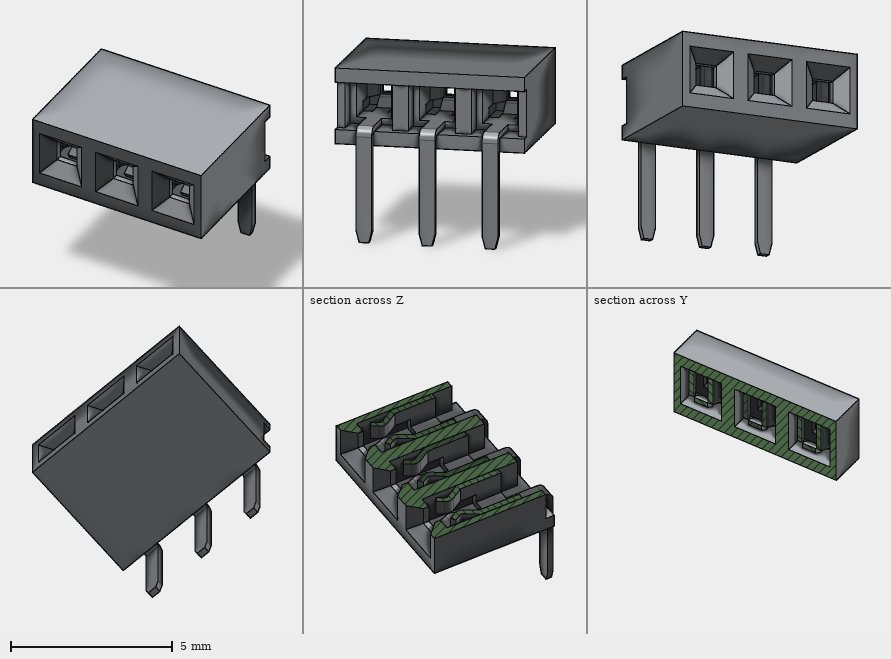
import cadquery as cq
import math


socket_count = 3
housing_width = 6.0
housing_depth = 4.295
housing_height = 2.4
pitch = housing_width / socket_count

cavity_size = 1.5
throat_size = 0.7
throat_length = 0.2
socket_axis_z = housing_height / 2
funnel_depth = (cavity_size - throat_size) / 2
cavity_start = funnel_depth + throat_length
cavity_floor = socket_axis_z - cavity_size / 2
rear_recess_depth = 0.3
cavity_end = housing_depth - rear_recess_depth

sheet = 0.2
strip_width = 0.5

arm_tip_y = 0.9
arm_tip_height = 0.31
arm_peak_height = 0.5
arm_slope = math.radians(32)
arm_bend_outer = 0.3
arm_bend_inner = arm_bend_outer - sheet
side_arm_bottom = 0.5

cradle_front = 2.4
cradle_rear = 3.3

pin_gap = 0.205
pin_outer_y = housing_depth + pin_gap + sheet
pin_bend_outer = 0.3
pin_bend_inner = pin_bend_outer - sheet
pin_bottom = -3.0
pin_tip_width = 0.3
pin_tip_length = 0.37

socket_centres = [(i - (socket_count - 1) / 2) * pitch for i in range(socket_count)]


def make_socket_opening(x):
    """Space cut for one socket, from the mating face to the rear recess."""
    front = cq.Workplane("XZ", origin=(x, 0, socket_axis_z))
    funnel = (
        front.rect(cavity_size, cavity_size)
        .workplane(offset=-funnel_depth)
        .rect(throat_size, throat_size)
        .loft(ruled=True)
    )
    throat = front.rect(throat_size, throat_size).extrude(-cavity_start)
    cavity = (
        front.workplane(offset=-cavity_start)
        .rect(cavity_size, cavity_size)
        .extrude(cavity_start - cavity_end)
    )
    return funnel.union(throat).union(cavity)


def make_housing():
    body = cq.Workplane("XY").box(
        housing_width, housing_depth, housing_height, centered=(True, False, False)
    )
    rear_recess = cq.Workplane("XY", origin=(0, cavity_end, cavity_floor)).box(
        housing_width, rear_recess_depth, cavity_size, centered=(True, False, False)
    )
    body = body.cut(rear_recess)
    for x in socket_centres:
        body = body.cut(make_socket_opening(x))
    return body


def make_arm(plane, width):
    """Spring arm on a plane whose x runs along Y and whose y is height above a cavity wall."""
    sine = math.sin(arm_slope)
    cosine = math.cos(arm_slope)
    slope = math.tan(arm_slope)
    bend_height = arm_peak_height - arm_bend_outer
    outer_end_height = bend_height + arm_bend_outer * cosine
    inner_end_height = bend_height + arm_bend_inner * cosine
    bend_y = arm_tip_y + (outer_end_height - arm_tip_height) / slope + arm_bend_outer * sine
    outer_foot_y = bend_y + arm_bend_outer * sine + (outer_end_height - sheet) / slope
    inner_foot_y = bend_y + arm_bend_inner * sine + inner_end_height / slope
    return (
        cq.Workplane(plane)
        .moveTo(arm_tip_y, arm_tip_height)
        .lineTo(bend_y - arm_bend_outer * sine, outer_end_height)
        .threePointArc(
            (bend_y, arm_peak_height),
            (bend_y + arm_bend_outer * sine, outer_end_height),
        )
        .lineTo(outer_foot_y, sheet)
        .lineTo(cradle_front, sheet)
        .lineTo(cradle_front, 0)
        .lineTo(inner_foot_y, 0)
        .lineTo(bend_y + arm_bend_inner * sine, inner_end_height)
        .threePointArc(
            (bend_y, arm_peak_height - sheet),
            (bend_y - arm_bend_inner * sine, inner_end_height),
        )
        .lineTo(arm_tip_y + sheet * sine, arm_tip_height - sheet * cosine)
        .close()
        .extrude(width)
    )


def make_cradle():
    """Channel lining the floor and both side walls of the cavity."""
    length = cradle_rear - cradle_front
    channel = cq.Workplane("XY", origin=(0, cradle_front, cavity_floor)).box(
        cavity_size, length, cavity_size, centered=(True, False, False)
    )
    inside = cq.Workplane("XY", origin=(0, cradle_front, cavity_floor + sheet)).box(
        cavity_size - 2 * sheet, length, cavity_size - sheet, centered=(True, False, False)
    )
    return channel.cut(inside)


def make_pin():
    """Strip from the cradle out of the rear recess, bent down into a pin with a tapered tip."""
    bend_y = pin_outer_y - pin_bend_outer
    bend_z = cavity_floor + sheet - pin_bend_outer
    diagonal = math.sqrt(0.5)
    strip = (
        cq.Workplane("YZ", origin=(-strip_width / 2, 0, 0))
        .moveTo(cradle_rear, cavity_floor + sheet)
        .lineTo(bend_y, cavity_floor + sheet)
        .threePointArc(
            (bend_y + pin_bend_outer * diagonal, bend_z + pin_bend_outer * diagonal),
            (pin_outer_y, bend_z),
        )
        .lineTo(pin_outer_y, pin_bottom)
        .lineTo(pin_outer_y - sheet, pin_bottom)
        .lineTo(pin_outer_y - sheet, bend_z)
        .threePointArc(
            (bend_y + pin_bend_inner * diagonal, bend_z + pin_bend_inner * diagonal),
            (bend_y, cavity_floor),
        )
        .lineTo(cradle_rear, cavity_floor)
        .close()
        .extrude(strip_width)
    )
    tapered_outline = (
        cq.Workplane("XZ")
        .polyline(
            [
                (-strip_width / 2, housing_height),
                (-strip_width / 2, pin_bottom + pin_tip_length),
                (-pin_tip_width / 2, pin_bottom),
                (pin_tip_width / 2, pin_bottom),
                (strip_width / 2, pin_bottom + pin_tip_length),
                (strip_width / 2, housing_height),
            ]
        )
        .close()
        .extrude(-pin_outer_y)
    )
    return strip.intersect(tapered_outline)


def make_contact(x):
    floor_plane = cq.Plane(
        origin=(-strip_width / 2, 0, cavity_floor), xDir=(0, 1, 0), normal=(1, 0, 0)
    )
    side_plane = cq.Plane(
        origin=(cavity_size / 2, 0, cavity_floor + side_arm_bottom), xDir=(0, 1, 0), normal=(0, 0, 1)
    )
    floor_arm = make_arm(floor_plane, strip_width)
    side_arm = make_arm(side_plane, cavity_size - side_arm_bottom)
    contact = (
        make_cradle()
        .union(floor_arm)
        .union(side_arm)
        .union(side_arm.mirror("YZ"))
        .union(make_pin())
    )
    return contact.translate((x, 0, 0))


housing = make_housing()
contacts = [make_contact(x) for x in socket_centres]

result = cq.Compound.makeCompound(
    [housing.solids().val(), *[contact.solids().val() for contact in contacts]]
)